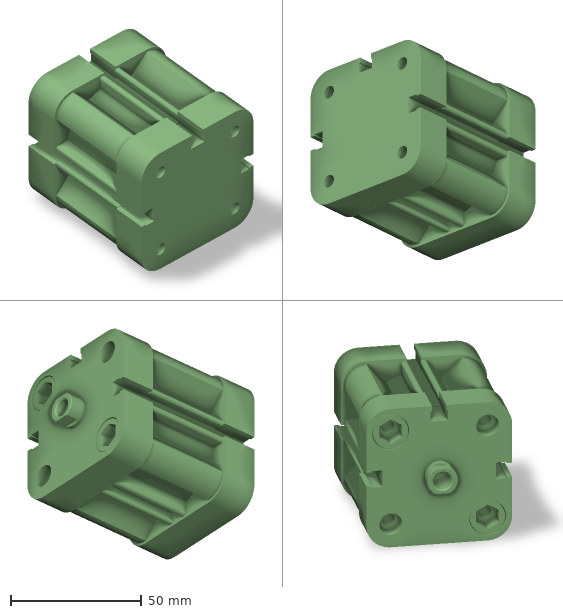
import cadquery as cq
import math

total_length = 73.0
rod_exposed = 7.15
cap_length = 14.8
cap_front_x = rod_exposed
barrel_front_x = cap_front_x + cap_length
barrel_length = total_length - rod_exposed - 2 * cap_length
rear_cap_x = barrel_front_x + barrel_length

cap_size = 57.0
cap_half = cap_size / 2
cap_corner_radius = 9.55
corner_offset = cap_half - cap_corner_radius

barrel_inset = 1.1
barrel_half = cap_half - barrel_inset
barrel_corner_radius = 8.7
core_radius = 22.2
channel_half_width = barrel_half - barrel_corner_radius
rail_half_width = 5.1
root_fillet = 0.9
rail_fillet = 1.1
on_core_tolerance = 0.1

cap_slot_mouth = 2.85
cap_slot_width = 3.4
cap_slot_lip = 2.1
cap_slot_depth = 6.35
barrel_slot_mouth = 2.55
barrel_slot_width = 3.35
barrel_slot_lip_z = cap_half - 2.5
barrel_slot_floor_z = cap_half - 6.0
slot_chamfer = 0.5
slot_floor_fillet = 0.5

bolt_hole_diameter = 5.1
counterbore_diameter = 8.9
counterbore_depth = 5.0
screw_recess_diameter = 14.4
screw_head_diameter = 13.8
screw_head_length = 7.3
hex_across_flats = 8.9
hex_depth = 5.4
screw_sink = 0.4
screw_recess_depth = screw_sink + screw_head_length

rod_diameter = 12.0
rod_length = rod_exposed + cap_length
rod_chamfer = 0.3
flat_half_height = 5.05
flat_length = 5.25
flat_runout = 0.4
rod_bore_diameter = 6.9
rod_bore_depth = 11.7
rod_bore_chamfer = 0.6
drill_half_angle = math.radians(59)

SIDES = range(4)
SLOTTED_CAP_SIDES = (0, 1, 3)
PLAIN_CORNERS = [(-corner_offset, corner_offset), (corner_offset, -corner_offset)]
SCREW_CORNERS = [(corner_offset, corner_offset), (-corner_offset, -corner_offset)]


def cross_section(x):
    """Workplane across the axis at x: local axes are Y and Z, extrusion is toward +X."""
    return cq.Workplane("YZ", origin=(x, 0, 0))


def on_side(shape, side):
    """Turn a shape made for the +Z side about the axis to one of the four sides."""
    return shape.rotate((0, 0, 0), (1, 0, 0), 90 * side)


def rounded_block(x, length, half, radius):
    block = cross_section(x).rect(2 * half, 2 * half).extrude(length)
    return block.edges("|X").fillet(radius)


def box_on_top(x, length, half_width, bottom, top):
    """Box centred on Y = 0 between two heights."""
    centre = (bottom + top) / 2
    return cross_section(x).center(0, centre).rect(2 * half_width, top - bottom).extrude(length)


def make_cap(x):
    cap = rounded_block(x, cap_length, cap_half, cap_corner_radius)
    floor = cap_half - cap_slot_depth
    lip = cap_half - cap_slot_lip
    mouth = box_on_top(x, cap_length, cap_slot_mouth, floor, cap_half)
    slot = mouth.union(box_on_top(x, cap_length, cap_slot_width, floor, lip))
    for side in SLOTTED_CAP_SIDES:
        cap = cap.cut(on_side(slot, side))
    return cap


def barrel_channel():
    """45 degree V-channel between two corner lobes."""
    apex = barrel_half - channel_half_width
    return (
        cross_section(barrel_front_x)
        .moveTo(0, apex)
        .lineTo(channel_half_width, barrel_half)
        .lineTo(-channel_half_width, barrel_half)
        .close()
        .extrude(barrel_length)
    )


def barrel_slot():
    """T-slot with a chamfered mouth and rounded floor corners."""
    wide = box_on_top(
        barrel_front_x, barrel_length, barrel_slot_width, barrel_slot_floor_z, barrel_slot_lip_z
    )
    wide = wide.edges("|X and <Z").fillet(slot_floor_fillet)
    chamfered_mouth = barrel_slot_mouth + slot_chamfer
    mouth = (
        cross_section(barrel_front_x)
        .moveTo(-barrel_slot_mouth, barrel_slot_floor_z + slot_floor_fillet)
        .lineTo(-barrel_slot_mouth, barrel_half - slot_chamfer)
        .lineTo(-chamfered_mouth, barrel_half)
        .lineTo(chamfered_mouth, barrel_half)
        .lineTo(barrel_slot_mouth, barrel_half - slot_chamfer)
        .lineTo(barrel_slot_mouth, barrel_slot_floor_z + slot_floor_fillet)
        .close()
        .extrude(barrel_length)
    )
    return wide.union(mouth)


def make_barrel():
    barrel = rounded_block(barrel_front_x, barrel_length, barrel_half, barrel_corner_radius)
    for side in SIDES:
        barrel = barrel.cut(on_side(barrel_channel(), side))
    barrel = barrel.union(cross_section(barrel_front_x).circle(core_radius).extrude(barrel_length))
    rail = box_on_top(barrel_front_x, barrel_length, rail_half_width, 0, barrel_half)
    rail = rail.edges("|X and >Z").fillet(rail_fillet)
    for side in SIDES:
        barrel = barrel.union(on_side(rail, side))

    def is_root(edge):
        centre = edge.Center()
        return abs(math.hypot(centre.y, centre.z) - core_radius) < on_core_tolerance

    barrel = barrel.edges("|X").filter(is_root).fillet(root_fillet)
    for side in SIDES:
        barrel = barrel.cut(on_side(barrel_slot(), side))
    return barrel


def make_housing():
    housing = make_cap(cap_front_x).union(make_barrel()).union(make_cap(rear_cap_x))
    face = cross_section(cap_front_x)
    housing_length = total_length - cap_front_x
    corners = PLAIN_CORNERS + SCREW_CORNERS
    bolt_holes = face.pushPoints(corners).circle(bolt_hole_diameter / 2).extrude(housing_length)
    counterbores = (
        face.pushPoints(PLAIN_CORNERS).circle(counterbore_diameter / 2).extrude(counterbore_depth)
    )
    screw_recesses = (
        face.pushPoints(SCREW_CORNERS).circle(screw_recess_diameter / 2).extrude(screw_recess_depth)
    )
    rod_hole = face.circle(rod_diameter / 2).extrude(cap_length)
    return housing.cut(bolt_holes).cut(counterbores).cut(screw_recesses).cut(rod_hole)


def rod_bore():
    """Blind hole with a countersunk mouth and a drill-point bottom."""
    radius = rod_bore_diameter / 2
    point_length = radius / math.tan(drill_half_angle)
    return (
        cq.Workplane("XY")
        .moveTo(0, 0)
        .lineTo(0, radius + rod_bore_chamfer)
        .lineTo(rod_bore_chamfer, radius)
        .lineTo(rod_bore_depth, radius)
        .lineTo(rod_bore_depth + point_length, 0)
        .close()
        .revolve(360, (0, 0, 0), (1, 0, 0))
    )


def wrench_flat():
    """Material removed above the upper wrench flat, with a sloped end."""
    rod_radius = rod_diameter / 2
    return (
        cq.Workplane("XZ")
        .moveTo(0, flat_half_height)
        .lineTo(flat_length, flat_half_height)
        .lineTo(flat_length + flat_runout, rod_radius)
        .lineTo(0, rod_radius)
        .close()
        .extrude(rod_radius, both=True)
    )


def make_rod():
    rod = cross_section(0).circle(rod_diameter / 2).extrude(rod_length)
    rod = rod.faces("<X").chamfer(rod_chamfer)
    upper_flat = wrench_flat()
    return rod.cut(upper_flat).cut(on_side(upper_flat, 2)).cut(rod_bore())


def make_screw(y, z):
    """Sunk screw head with a hexagon socket and a through hole."""
    face = cross_section(cap_front_x + screw_sink).center(y, z)
    hex_diameter = hex_across_flats / math.cos(math.pi / 6)
    socket = face.transformed(rotate=(0, 0, 90)).polygon(6, hex_diameter).extrude(hex_depth)
    head = face.circle(screw_head_diameter / 2).extrude(screw_head_length)
    hole = face.circle(bolt_hole_diameter / 2).extrude(screw_head_length)
    return head.cut(socket).cut(hole)


housing = make_housing()
rod = make_rod()
screws = [make_screw(y, z) for y, z in SCREW_CORNERS]

result = cq.Compound.makeCompound([housing.val(), rod.val(), *[screw.val() for screw in screws]])